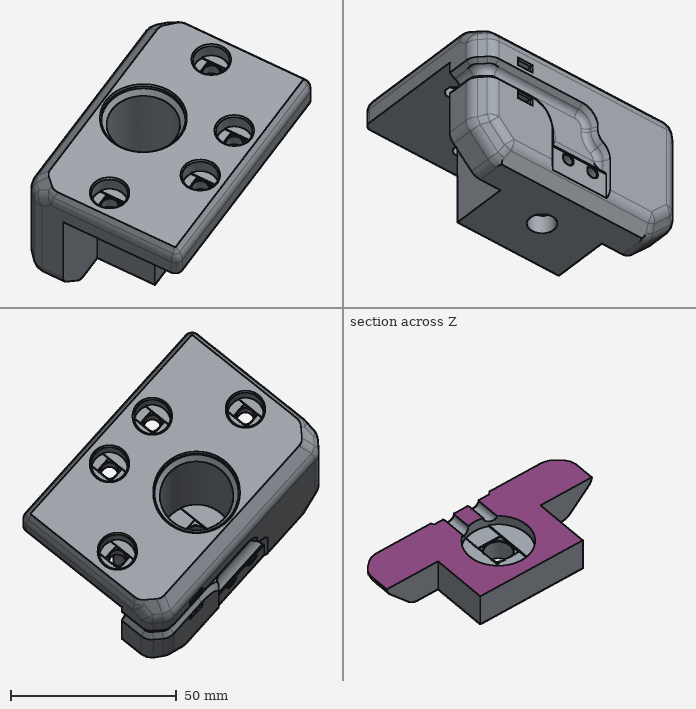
import cadquery as cq
import math

LENGTH_X = 55.0
WIDTH_Y = 80
HEIGHT_Z = 49.1
HALF_Y = WIDTH_Y / 2

WALL_THICKNESS = 14.7
PLATE_THICKNESS = 10.0
PLATE_BOTTOM = HEIGHT_Z - PLATE_THICKNESS
BLOCK_END_X = 35.0
BLOCK_WIDTH = 40

FACE_CHAMFER = 5.0
BOTTOM_CHAMFER = 10.0
EDGE_RADIUS = 5.0
TOP_CHAMFER_SIDE = 2.2
TOP_CHAMFER_DOWN = 3.0
BACK_CORNER_RADIUS = 2.5

BORE_X = 19.0
BORE_DIAMETER = 22.2
BORE_FLOOR = 8
BORE_MOUTH_DIAMETER = 25.4
BORE_MOUTH_DEPTH = 1.5
BORE_ROD_DIAMETER = 9.2
BORE_BRIDGE_WIDTH = 9.0

SCREW_HEAD_DIAMETER = 11.0
SCREW_DIAMETER = 5.2
SCREW_HEAD_DEPTH = 5.0
SCREW_POSITIONS = [(25.0, -29.9), (25.0, 29.9), (45.0, -10.0), (45.0, 10.0)]
HOLE_CHAMFER = 0.5
BRIDGE_LAYER = 0.4

GROOVE_Z = 31.6
GROOVE_DEPTH = 3.8
GROOVE_RADIUS = 2.5
LOWER_LIP_HALF_WIDTH = 4.3
LOWER_LIP_EDGE = 2.44
UPPER_LIP_HALF_WIDTH = 3.6
UPPER_LIP_EDGE = 2.4
CORNER_BEND = 8.4
INNER_BEND_Y = 19.9
INNER_BEND_RADIUS = 12.3
UPPER_BEND_RADIUS = 2.5
UPPER_BEND_DROP = 1.4
REVERSE_BEND_RADIUS = 7.9
POCKET_RIGHT_Y = -7.3

RAMP_TOP_Z = 18.7
RAMP_BOTTOM_Z = 14.1
RAMP_RADIUS = 5.6
LEDGE_Z = 13.3
LEDGE_X = 1.0
PIN_DIAMETER = 3.7
PIN_Y = 4.8
PIN_Z = 11.4
PIN_CHAMFER = 0.3

TIE_Y = 22.5
TIE_WIDTH = 5.9
TIE_Z = 31.8
TIE_INNER_RADIUS = 5.0
TIE_OUTER_RADIUS = 7.8
TIE_CHAMFER = 0.5

OVERSHOOT = 8
LIP_CLEARANCE = 0.8
TOLERANCE = 0.01


def make_shell():
    """Outer envelope with the chamfered and rounded front."""
    outline = (
        cq.Workplane("YZ")
        .moveTo(-HALF_Y, HEIGHT_Z)
        .lineTo(-HALF_Y, BOTTOM_CHAMFER)
        .lineTo(-HALF_Y + BOTTOM_CHAMFER, 0)
        .lineTo(HALF_Y - BOTTOM_CHAMFER, 0)
        .lineTo(HALF_Y, BOTTOM_CHAMFER)
        .lineTo(HALF_Y, HEIGHT_Z)
        .close()
    )
    shell = outline.extrude(LENGTH_X).faces("<X").edges().chamfer(FACE_CHAMFER)

    for side in (-1, 1):
        top_edge = (
            cq.Workplane("YZ")
            .moveTo(side * HALF_Y, HEIGHT_Z - TOP_CHAMFER_DOWN)
            .lineTo(side * (HALF_Y - TOP_CHAMFER_SIDE), HEIGHT_Z)
            .lineTo(side * HALF_Y, HEIGHT_Z)
            .close()
            .extrude(LENGTH_X)
        )
        corner_plane = cq.Plane(
            origin=(FACE_CHAMFER / 2, side * (HALF_Y - FACE_CHAMFER / 2), HEIGHT_Z),
            xDir=(1, -side, 0),
            normal=(1, side, 0),
        )
        up = corner_plane.yDir.z
        corner_facet = (
            cq.Workplane(corner_plane)
            .moveTo(0, -up * FACE_CHAMFER)
            .lineTo(FACE_CHAMFER, 0)
            .lineTo(0, 0)
            .close()
            .extrude(WIDTH_Y / 4, both=True)
        )
        shell = shell.cut(top_edge).cut(corner_facet)

    return shell.newObject(rounded_edges(shell)).fillet(EDGE_RADIUS)


def rounded_edges(shell):
    """Edges that get rounded: all but the top rim, the bottom front rim and the back face."""

    def is_rounded(edge):
        box = edge.BoundingBox()
        on_top = box.zmin > HEIGHT_Z - TOLERANCE
        on_bottom_front = box.zmax < TOLERANCE and box.xlen < TOLERANCE
        on_back = box.xmin > LENGTH_X - TOLERANCE
        return not (on_top or on_bottom_front or on_back)

    return [edge for edge in shell.edges().vals() if is_rounded(edge)]


def make_back_edge_trim():
    """Material outside the rounded back edge and its two vertical corners."""
    inset = BACK_CORNER_RADIUS
    slope = math.atan2(TOP_CHAMFER_SIDE, TOP_CHAMFER_DOWN)
    tangent = EDGE_RADIUS * math.tan(slope / 2)
    arc_end = (inset, HEIGHT_Z - TOP_CHAMFER_DOWN - tangent)
    arc_start = (
        inset - tangent * math.sin(slope),
        HEIGHT_Z - TOP_CHAMFER_DOWN + tangent * math.cos(slope),
    )
    arc_middle = (
        inset - EDGE_RADIUS * (1 - math.cos(slope / 2)),
        arc_end[1] + EDGE_RADIUS * math.sin(slope / 2),
    )

    def rim_profile(plane, origin):
        return (
            cq.Workplane(plane, origin=origin)
            .lineTo(0, HEIGHT_Z)
            .lineTo(inset - TOP_CHAMFER_SIDE, HEIGHT_Z)
            .lineTo(*arc_start)
            .threePointArc(arc_middle, arc_end)
            .lineTo(inset, 0)
            .close()
        )

    axis_x = LENGTH_X - inset
    axis_y = HALF_Y - inset
    trim = cq.Workplane().box(
        inset, WIDTH_Y, HEIGHT_Z, centered=(False, True, False)
    ).translate((axis_x, 0, 0))
    rim = rim_profile("XZ", (axis_x, axis_y, 0)).extrude(2 * axis_y)
    trim = trim.cut(rim)
    for side in (-1, 1):
        post = rim_profile("XZ", (axis_x, side * axis_y, 0)).revolve(360, (0, 0, 0), (0, 1, 0))
        trim = trim.cut(post)
    return trim


def make_underside_cut():
    """Space below the plate and behind the wall, leaving the central block."""
    space = cq.Workplane().box(
        LENGTH_X, WIDTH_Y, PLATE_BOTTOM, centered=(False, True, False)
    ).translate((WALL_THICKNESS, 0, 0))
    block = cq.Workplane().box(
        BLOCK_END_X - WALL_THICKNESS, BLOCK_WIDTH, PLATE_BOTTOM, centered=(False, True, False)
    ).translate((WALL_THICKNESS, 0, 0))
    return space.cut(block)


def make_bridged_hole(large_diameter, floor_z, small_diameter, bridge_width):
    """Counterbored hole whose floor steps down through a slot, a square and an octagon."""
    mouth = (
        cq.Workplane(origin=(0, 0, floor_z))
        .circle(large_diameter / 2)
        .extrude(HEIGHT_Z - floor_z)
    )
    slot = (
        cq.Workplane(origin=(0, 0, floor_z - BRIDGE_LAYER))
        .rect(large_diameter, bridge_width)
        .extrude(BRIDGE_LAYER)
        .intersect(mouth.translate((0, 0, -BRIDGE_LAYER)))
    )
    square = (
        cq.Workplane(origin=(0, 0, floor_z - 2 * BRIDGE_LAYER))
        .rect(bridge_width, bridge_width)
        .extrude(BRIDGE_LAYER)
    )
    octagon = (
        cq.Workplane(origin=(0, 0, floor_z - 3 * BRIDGE_LAYER))
        .transformed(rotate=(0, 0, 22.5))
        .polygon(8, bridge_width, circumscribed=True)
        .extrude(BRIDGE_LAYER)
    )
    shank = cq.Workplane().circle(small_diameter / 2).extrude(floor_z - 3 * BRIDGE_LAYER)
    return mouth.union(slot).union(square).union(octagon).union(shank)


def make_hole_chamfer(diameter, depth):
    """45 degree countersink of the given depth in the top face."""
    return (
        cq.Workplane(origin=(0, 0, HEIGHT_Z))
        .circle(diameter / 2 + depth)
        .extrude(-depth, taper=45)
    )


def make_bore():
    """Main bore with a wider mouth that tapers into it."""
    step = (BORE_MOUTH_DIAMETER - BORE_DIAMETER) / 2
    mouth = (
        cq.Workplane(origin=(0, 0, HEIGHT_Z))
        .circle(BORE_MOUTH_DIAMETER / 2)
        .extrude(-BORE_MOUTH_DEPTH)
    )
    taper = (
        cq.Workplane(origin=(0, 0, HEIGHT_Z - BORE_MOUTH_DEPTH))
        .circle(BORE_MOUTH_DIAMETER / 2)
        .extrude(-step, taper=45)
    )
    bore = make_bridged_hole(BORE_DIAMETER, BORE_FLOOR, BORE_ROD_DIAMETER, BORE_BRIDGE_WIDTH)
    bore = bore.union(mouth).union(taper).union(make_hole_chamfer(BORE_MOUTH_DIAMETER, HOLE_CHAMFER))
    return bore.translate((BORE_X, 0, 0))


def make_screw_hole():
    """Counterbored screw hole through the plate, with a chamfered rim."""
    hole = make_bridged_hole(
        SCREW_HEAD_DIAMETER, HEIGHT_Z - SCREW_HEAD_DEPTH, SCREW_DIAMETER, SCREW_DIAMETER
    )
    return hole.union(make_hole_chamfer(SCREW_HEAD_DIAMETER, HOLE_CHAMFER))


def lip_edge_depth(edge_offset):
    """Depth at which the round groove bottom meets the flared lip."""
    return GROOVE_DEPTH - GROOVE_RADIUS + math.sqrt(GROOVE_RADIUS**2 - edge_offset**2)


def start_groove_section():
    """Workplane for a groove section at the point where the two groove walls part."""
    return cq.Workplane("XZ", origin=(0, INNER_BEND_Y, GROOVE_Z))


def half_groove(side, edge_offset, lip_half_width):
    """Section of the lower (side -1) or upper (side 1) half of the groove."""
    edge_depth = lip_edge_depth(edge_offset)
    return (
        start_groove_section()
        .moveTo(-LIP_CLEARANCE, 0)
        .lineTo(GROOVE_DEPTH, 0)
        .radiusArc((edge_depth, side * edge_offset), -side * GROOVE_RADIUS)
        .lineTo(0, side * lip_half_width)
        .lineTo(-LIP_CLEARANCE, side * lip_half_width)
        .close()
    )


def inner_path(workplane):
    """Bottom line of the groove along the lower wall: a quarter bend, then straight down."""
    bend_end = (INNER_BEND_Y - INNER_BEND_RADIUS, GROOVE_Z - INNER_BEND_RADIUS)
    return (
        workplane.moveTo(INNER_BEND_Y, GROOVE_Z)
        .radiusArc(bend_end, -INNER_BEND_RADIUS)
        .lineTo(bend_end[0], -OVERSHOOT)
    )


def outer_path(workplane):
    """Bottom line of the groove along the upper wall: a bend, an S-bend, then straight down."""
    first_end = (-UPPER_BEND_RADIUS, GROOVE_Z - UPPER_BEND_RADIUS)
    reverse_start = (first_end[0], first_end[1] - UPPER_BEND_DROP)
    radius_sum = REVERSE_BEND_RADIUS + UPPER_BEND_RADIUS
    sideways = reverse_start[0] - POCKET_RIGHT_Y
    turn = math.acos(1 - sideways / radius_sum)
    joint = (
        reverse_start[0] - REVERSE_BEND_RADIUS * (1 - math.cos(turn)),
        reverse_start[1] - REVERSE_BEND_RADIUS * math.sin(turn),
    )
    reverse_end = (POCKET_RIGHT_Y, reverse_start[1] - radius_sum * math.sin(turn))
    return (
        workplane.moveTo(INNER_BEND_Y, GROOVE_Z)
        .lineTo(0, GROOVE_Z)
        .radiusArc(first_end, -UPPER_BEND_RADIUS)
        .lineTo(*reverse_start)
        .radiusArc(joint, REVERSE_BEND_RADIUS)
        .radiusArc(reverse_end, -UPPER_BEND_RADIUS)
        .lineTo(POCKET_RIGHT_Y, -OVERSHOOT)
    )


def make_side_groove():
    """Groove that runs from the pocket round the +Y corner to the back of the wall."""
    bend = FACE_CHAMFER + EDGE_RADIUS * math.tan(math.pi / 8)
    diagonal = EDGE_RADIUS * (1 - math.cos(math.pi / 4))
    near = bend - EDGE_RADIUS * math.sin(math.pi / 4)
    lip_path = (
        cq.Workplane("XY", origin=(0, 0, GROOVE_Z))
        .moveTo(0, INNER_BEND_Y)
        .lineTo(0, HALF_Y - bend)
        .radiusArc((diagonal, HALF_Y - near), EDGE_RADIUS)
        .lineTo(near, HALF_Y - diagonal)
        .radiusArc((bend, HALF_Y), EDGE_RADIUS)
        .lineTo(WALL_THICKNESS + OVERSHOOT, HALF_Y)
    )
    lips = (
        start_groove_section()
        .moveTo(-LIP_CLEARANCE, -LOWER_LIP_HALF_WIDTH)
        .lineTo(0, -LOWER_LIP_HALF_WIDTH)
        .lineTo(lip_edge_depth(LOWER_LIP_EDGE), -LOWER_LIP_EDGE)
        .lineTo(lip_edge_depth(UPPER_LIP_EDGE), UPPER_LIP_EDGE)
        .lineTo(0, UPPER_LIP_HALF_WIDTH)
        .lineTo(-LIP_CLEARANCE, UPPER_LIP_HALF_WIDTH)
        .close()
        .sweep(lip_path)
    )

    axis_depth = GROOVE_DEPTH - GROOVE_RADIUS
    tube_path = (
        cq.Workplane("XY", origin=(0, 0, GROOVE_Z))
        .moveTo(axis_depth, INNER_BEND_Y)
        .lineTo(axis_depth, HALF_Y - CORNER_BEND)
        .radiusArc((CORNER_BEND, HALF_Y - axis_depth), CORNER_BEND - axis_depth)
        .lineTo(WALL_THICKNESS + OVERSHOOT, HALF_Y - axis_depth)
    )
    tube = start_groove_section().center(axis_depth, 0).circle(GROOVE_RADIUS).sweep(tube_path)
    return lips.union(tube)


def make_pocket():
    """Space between the two groove walls, down to the ramp and the terminal face."""
    lower_half = half_groove(-1, LOWER_LIP_EDGE, LOWER_LIP_HALF_WIDTH)
    upper_half = half_groove(1, UPPER_LIP_EDGE, UPPER_LIP_HALF_WIDTH)
    lower_wall = lower_half.sweep(inner_path(cq.Workplane("YZ")))
    upper_wall = upper_half.sweep(outer_path(cq.Workplane("YZ")))
    floor = (
        outer_path(cq.Workplane("YZ"))
        .lineTo(INNER_BEND_Y - INNER_BEND_RADIUS, -OVERSHOOT)
        .lineTo(INNER_BEND_Y - INNER_BEND_RADIUS, GROOVE_Z - INNER_BEND_RADIUS)
        .radiusArc((INNER_BEND_Y, GROOVE_Z), INNER_BEND_RADIUS)
        .close()
        .extrude(GROOVE_DEPTH + LIP_CLEARANCE)
        .translate((-LIP_CLEARANCE, 0, 0))
    )
    ramp_height = RAMP_TOP_Z - RAMP_BOTTOM_Z
    ramp_end_x = GROOVE_DEPTH - RAMP_RADIUS + math.sqrt(RAMP_RADIUS**2 - ramp_height**2)
    limit = (
        cq.Workplane("XZ")
        .moveTo(-OVERSHOOT, HEIGHT_Z)
        .lineTo(GROOVE_DEPTH, HEIGHT_Z)
        .lineTo(GROOVE_DEPTH, RAMP_TOP_Z)
        .radiusArc((ramp_end_x, RAMP_BOTTOM_Z), RAMP_RADIUS)
        .lineTo(LEDGE_X, LEDGE_Z)
        .lineTo(LEDGE_X, -OVERSHOOT)
        .lineTo(-OVERSHOOT, -OVERSHOOT)
        .close()
        .extrude(HALF_Y, both=True)
    )
    return floor.union(lower_wall).union(upper_wall).intersect(limit)


def make_pin_hole():
    """Chamfered hole from the terminal face into the main bore."""
    hole = cq.Workplane("YZ").circle(PIN_DIAMETER / 2).extrude(BORE_X)
    chamfer = (
        cq.Workplane("YZ", origin=(LEDGE_X, 0, 0))
        .circle(PIN_DIAMETER / 2 + PIN_CHAMFER)
        .extrude(PIN_CHAMFER, taper=45)
    )
    return hole.union(chamfer)


def make_tie_tunnel():
    """Half-round tunnel for a cable tie behind the groove, with chamfered mouths."""
    tunnel = (
        cq.Workplane("XZ", origin=(0, TIE_Y + TIE_WIDTH / 2 - TIE_CHAMFER, TIE_Z))
        .circle(TIE_OUTER_RADIUS - TIE_CHAMFER)
        .circle(TIE_INNER_RADIUS + TIE_CHAMFER)
        .extrude(TIE_WIDTH - 2 * TIE_CHAMFER)
    )
    for side in (-1, 1):
        mouth_z = TIE_Z + side * (TIE_INNER_RADIUS + TIE_OUTER_RADIUS) / 2
        mouth = (
            cq.Workplane("YZ", origin=(0, TIE_Y, mouth_z))
            .rect(TIE_WIDTH, TIE_OUTER_RADIUS - TIE_INNER_RADIUS)
            .extrude(TIE_CHAMFER, taper=45)
        )
        tunnel = tunnel.union(mouth)
    return tunnel


result = make_shell().cut(make_back_edge_trim()).cut(make_underside_cut()).cut(make_bore())
for hole_x, hole_y in SCREW_POSITIONS:
    result = result.cut(make_screw_hole().translate((hole_x, hole_y, 0)))
result = result.cut(make_side_groove()).cut(make_pocket()).cut(make_tie_tunnel())
for side in (-1, 1):
    result = result.cut(make_pin_hole().translate((0, side * PIN_Y, PIN_Z)))